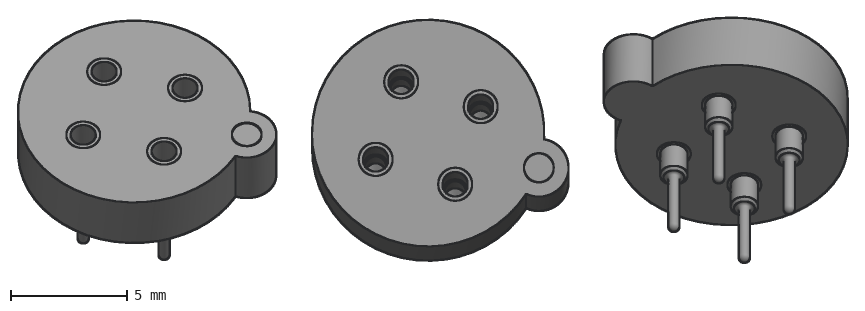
import cadquery as cq
import math

HOUSING_RADIUS = 5.0
HOUSING_HEIGHT = 2.81
TAB_RADIUS = 1.28
TAB_ANGLE = 45.0
MARK_RADIUS = TAB_RADIUS / 2
MARK_DEPTH = 0.05

PIN_COUNT = 4
PIN_CIRCLE_RADIUS = 2.54
HEAD_RADIUS = 0.73
BARREL_RADIUS = 0.59
TAIL_RADIUS = 0.25
PIN_REACH = 4.55
BARREL_LENGTH = 1.41
BARREL_CHAMFER = 0.14
NECK_FILLET = 0.13

MOUTH_RADIUS = 0.54
BORE_RADIUS = 0.46
MOUTH_DEPTH = HOUSING_HEIGHT / 2
BORE_DEPTH = HOUSING_HEIGHT
DRILL_POINT_ANGLE = 118.0


def make_housing():
    tab_angle = math.radians(TAB_ANGLE)
    tab_center = (HOUSING_RADIUS * math.cos(tab_angle), HOUSING_RADIUS * math.sin(tab_angle))
    disc = cq.Workplane("XY").circle(HOUSING_RADIUS).extrude(HOUSING_HEIGHT)
    tab = cq.Workplane("XY").center(*tab_center).circle(TAB_RADIUS).extrude(HOUSING_HEIGHT)
    mark = (
        cq.Workplane("XY", origin=(0, 0, HOUSING_HEIGHT - MARK_DEPTH))
        .center(*tab_center)
        .circle(MARK_RADIUS)
        .extrude(MARK_DEPTH)
    )
    pin_holes = (
        cq.Workplane("XY")
        .polarArray(PIN_CIRCLE_RADIUS, 0, 360, PIN_COUNT)
        .circle(HEAD_RADIUS)
        .extrude(HOUSING_HEIGHT)
    )
    return disc.union(tab).cut(mark).cut(pin_holes)


def make_pin_blank():
    """Solid of revolution about Z; the profile runs from the tip up to the head."""
    fillet_outer_radius = TAIL_RADIUS + NECK_FILLET
    fillet_bottom_z = -BARREL_LENGTH - NECK_FILLET
    diagonal = math.sqrt(0.5)
    tip_middle = (TAIL_RADIUS * diagonal, -PIN_REACH + TAIL_RADIUS * (1 - diagonal))
    fillet_middle = (
        fillet_outer_radius - NECK_FILLET * diagonal,
        fillet_bottom_z + NECK_FILLET * diagonal,
    )
    return (
        cq.Workplane("XZ")
        .moveTo(0, -PIN_REACH)
        .threePointArc(tip_middle, (TAIL_RADIUS, -PIN_REACH + TAIL_RADIUS))
        .lineTo(TAIL_RADIUS, fillet_bottom_z)
        .threePointArc(fillet_middle, (fillet_outer_radius, -BARREL_LENGTH))
        .lineTo(BARREL_RADIUS - BARREL_CHAMFER, -BARREL_LENGTH)
        .lineTo(BARREL_RADIUS, -BARREL_LENGTH + BARREL_CHAMFER)
        .lineTo(BARREL_RADIUS, 0)
        .lineTo(HEAD_RADIUS, 0)
        .lineTo(HEAD_RADIUS, HOUSING_HEIGHT)
        .lineTo(0, HOUSING_HEIGHT)
        .close()
        .revolve(360, (0, 0, 0), (0, 1, 0))
    )


def make_bore():
    """Wide mouth, conical step, narrower bore and a drill-point bottom."""
    cone_slope = math.tan(math.radians(DRILL_POINT_ANGLE / 2))
    step_top_z = HOUSING_HEIGHT - MOUTH_DEPTH
    step_bottom_z = step_top_z - (MOUTH_RADIUS - BORE_RADIUS) / cone_slope
    bore_bottom_z = HOUSING_HEIGHT - BORE_DEPTH
    return (
        cq.Workplane("XZ")
        .moveTo(0, HOUSING_HEIGHT)
        .lineTo(MOUTH_RADIUS, HOUSING_HEIGHT)
        .lineTo(MOUTH_RADIUS, step_top_z)
        .lineTo(BORE_RADIUS, step_bottom_z)
        .lineTo(BORE_RADIUS, bore_bottom_z)
        .lineTo(0, bore_bottom_z - BORE_RADIUS / cone_slope)
        .close()
        .revolve(360, (0, 0, 0), (0, 1, 0))
    )


def make_pin(angle):
    """Socket pin placed on the pin circle at the given angle in degrees."""
    pin = make_pin_blank().cut(make_bore())
    return pin.translate((PIN_CIRCLE_RADIUS, 0, 0)).rotate((0, 0, 0), (0, 0, 1), angle)


housing = make_housing()
pins = [make_pin(index * 360 / PIN_COUNT) for index in range(PIN_COUNT)]

result = cq.Compound.makeCompound([housing.solids().val(), *[pin.solids().val() for pin in pins]])